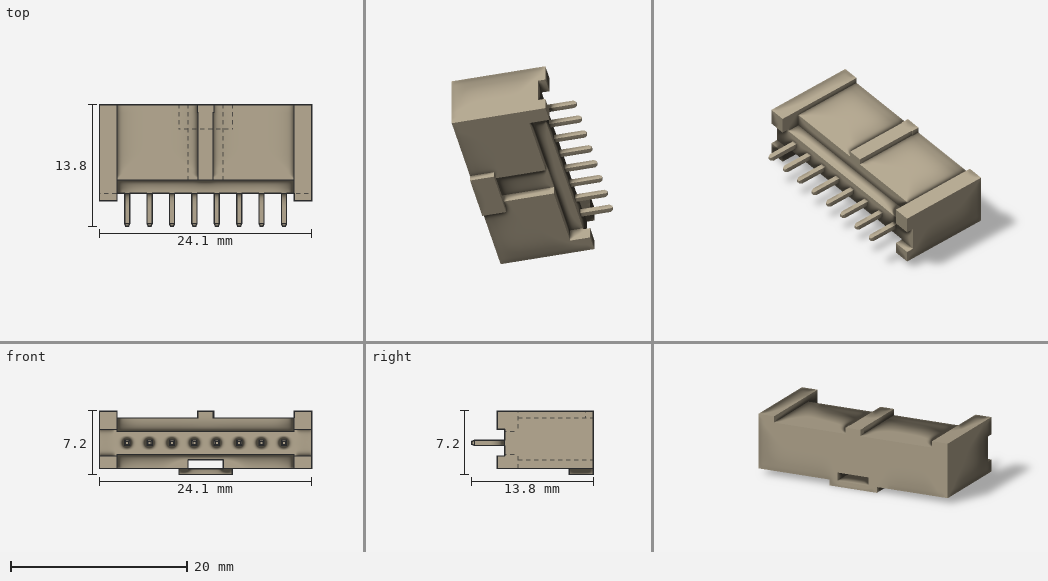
import cadquery as cq


length = 24.1
height = 6.5
depth = 10.92
end_width = 2.0
middle_length = length - 2 * end_width
front_setback = 0.85
front_depth = depth - front_setback

top_recess = 0.75
ledge_depth = 1.5
wall_depth = front_depth - ledge_depth
upper_ledge_z = 4.2
lower_ledge_z = 1.6

notch_bottom_z = 1.45
notch_top_z = 4.43

rib_width = 1.74
rib_head_width = 1.88
rib_head_depth = 0.92

slot_width = 3.98
slot_height = 1.0
tab_width = 6.05
tab_depth = 2.77
tab_thickness = 0.7

pin_count = 8
pin_span = 17.79
pin_pitch = pin_span / (pin_count - 1)
pin_z = 2.92
pin_size = 0.6
pin_length = 3.74
tip_length = 0.31
tip_size = 0.34


def block(width, back, front, bottom, top, x=0.0):
    """Box centred on x, between two depths behind to front and two heights."""
    box = cq.Workplane("XY").box(width, front - back, top - bottom, centered=(True, False, False))
    return box.translate((x, -front, bottom))


def end_block(side):
    x = side * (length - end_width) / 2
    body = block(end_width, 0, depth, 0, height, x)
    return body.cut(block(end_width, front_depth, depth, notch_bottom_z, notch_top_z, x))


def middle():
    wall = block(middle_length, 0, wall_depth, 0, height - top_recess)
    return wall.union(block(middle_length, 0, front_depth, lower_ledge_z, upper_ledge_z))


def key_rib():
    base_z = height - top_recess
    rib = block(rib_width, 0, wall_depth, base_z, height)
    return rib.union(block(rib_head_width, 0, rib_head_depth, base_z, height))


def pin(x):
    shaft_end = front_depth + pin_length - tip_length
    shaft = block(pin_size, wall_depth, shaft_end, pin_z - pin_size / 2, pin_z + pin_size / 2, x)
    tip = (
        cq.Workplane("XZ", origin=(x, -shaft_end, pin_z))
        .rect(pin_size, pin_size)
        .workplane(offset=tip_length)
        .rect(tip_size, tip_size)
        .loft()
    )
    return shaft.union(tip)


result = middle().union(end_block(-1)).union(end_block(1)).union(key_rib())
result = result.cut(block(slot_width, 0, depth, 0, slot_height))
result = result.union(block(tab_width, 0, tab_depth, -tab_thickness, 0))
for index in range(pin_count):
    result = result.union(pin(index * pin_pitch - pin_span / 2))